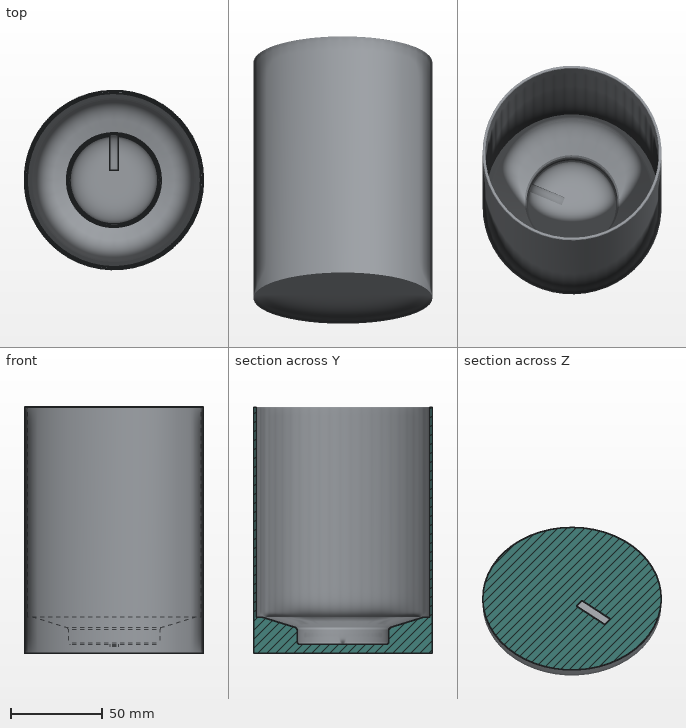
import cadquery as cq
import math

outer_diameter = 98.0
bore_diameter = 95.0
height = 135.0
rim_chamfer = 0.3

ledge_height = 20.0
cone_top_diameter = 89.0
cone_depth = 6.0
well_diameter = 50.0
floor_thickness = 5.0
ledge_chamfer = 0.4
well_chamfer = 0.9

groove_width = 4.6
groove_start = 5.25
groove_start_depth = 0.5
groove_slope = 2.0

outer_radius = outer_diameter / 2
bore_radius = bore_diameter / 2
cone_top_radius = cone_top_diameter / 2
well_radius = well_diameter / 2
well_mouth_height = ledge_height - cone_depth


def make_body():
    """Revolve the cup wall together with its stepped floor."""
    profile = (
        cq.Workplane("XZ")
        .lineTo(outer_radius, 0)
        .lineTo(outer_radius, height)
        .lineTo(bore_radius, height)
        .lineTo(bore_radius, ledge_height)
        .lineTo(cone_top_radius, ledge_height)
        .lineTo(well_radius, well_mouth_height)
        .lineTo(well_radius, floor_thickness)
        .lineTo(0, floor_thickness)
        .close()
    )
    return profile.revolve(360, (0, 0, 0), (0, 1, 0))


def chamfer_circle(body, radius, edge_height, size):
    """Chamfer the circular edge about Z with the given radius and height."""
    circle = body.edges("%CIRCLE").filter(
        lambda edge: math.isclose(edge.radius(), radius)
        and math.isclose(edge.Center().z, edge_height)
    )
    return circle.chamfer(size)


def make_groove_cutter():
    """Bar with a sloping underside, tall enough to clear the well floor chamfer."""
    length = well_radius - groove_start
    start_height = floor_thickness - groove_start_depth
    end_height = start_height - length * math.tan(math.radians(groove_slope))
    top_height = floor_thickness + well_chamfer
    side_profile = (
        cq.Workplane("YZ")
        .moveTo(groove_start, start_height)
        .lineTo(well_radius, end_height)
        .lineTo(well_radius, top_height)
        .lineTo(groove_start, top_height)
        .close()
    )
    return side_profile.extrude(groove_width / 2, both=True)


result = make_body()
result = chamfer_circle(result, outer_radius, height, rim_chamfer)
result = chamfer_circle(result, bore_radius, height, rim_chamfer)
result = chamfer_circle(result, cone_top_radius, ledge_height, ledge_chamfer)
result = chamfer_circle(result, well_radius, well_mouth_height, well_chamfer)
result = chamfer_circle(result, well_radius, floor_thickness, well_chamfer)
result = result.cut(make_groove_cutter())